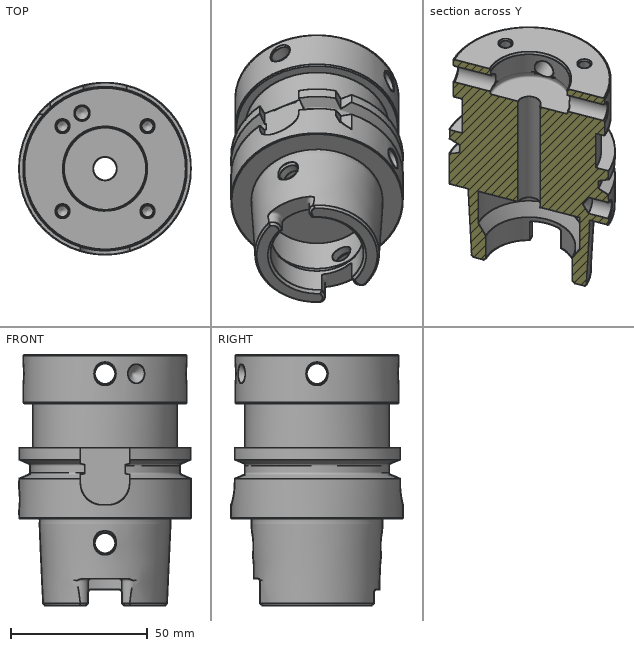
import cadquery as cq
import math

TOP_Z = 60.0
BOTTOM_Z = -31.9

FLANGE_R = 31.5
FLANGE_TOP_Z = 26.0
FLANGE_EDGE = 0.3
GROOVE_R = 27.5
GROOVE_MID_Z = 18.1
GROOVE_MOUTH = 7.0
GROOVE_FLANK_ANGLE = 23.5
GROOVE_FILLET = 0.7

HEAD_R = 30.0
HEAD_BOTTOM_Z = 42.0
HEAD_EDGE = 0.5
NECK_R = 26.5

SHANK_TOP_R = 24.05
SHANK_END_R = 22.75
RELIEF_R = 24.0
RELIEF_TOP_Z = -0.6
RELIEF_BOTTOM_Z = -1.2
SHANK_START_Z = -2.0
SHANK_END_CHAMFER_R = 0.7
SHANK_END_CHAMFER_Z = 1.0
SHANK_TAPER_LENGTH = SHANK_START_Z - BOTTOM_Z - SHANK_END_CHAMFER_Z
SHANK_TAPER = (SHANK_TOP_R - SHANK_END_R) / SHANK_TAPER_LENGTH

HOLLOW_MOUTH_R = 17.0
HOLLOW_CHAMFER = 1.0
HOLLOW_R = 20.0
HOLLOW_TOP_Z = 0.0
CLAMP_SHOULDER_Z = -20.0
CLAMP_SHOULDER_ANGLE = 30.0
COOLANT_R = 4.25
BORE_R = 15.0
BORE_DEPTH = 12.0
BORE_CHAMFER_R = 0.5
BORE_CHAMFER_Z = 0.9
BORE_RELIEF_DEPTH = 0.3
BORE_RELIEF_LENGTH = 2.8
BORE_RELIEF_RUNOUT = 1.0
BORE_RELIEF_FILLET = 0.8

KEYWAY_FLOOR = 26.5
FRONT_KEYWAY_WIDTH = 18.0
REAR_KEYWAY_WIDTH = 16.0
KEYWAY_END_Z = 5.0
KEYWAY_CORNER_R = 8.0
NOTCH_WALL = 20.0

DRIVE_WIDTH = 12.3
FRONT_DRIVE_TOP_Z = -22.0
REAR_DRIVE_TOP_Z = -26.0
DRIVE_POST_R = 3.0
DRIVE_POST_Y = 17.87
DRIVE_POST_END_ANGLE = 36.0
DRIVE_MOUTH_SLOPE = 28.0
DRIVE_CORNER_R = 1.0
DRIVE_END_CHAMFER = 0.9

CROSS_HOLE_D = 7.4
HEAD_HOLE_MOUTH_D = 8.6
SHANK_HOLE_MOUTH_D = 9.0
HEAD_HOLE_Z = 53.0
SHANK_HOLE_Z = -9.0
POINT_ANGLE = 118.0
BALANCE_HOLE_D = 7.0
BALANCE_POINT_ANGLE = 90.0
BALANCE_HOLE_ANGLE = -67.5
CHIP_HOLE_D = 7.4
CHIP_HOLE_MOUTH_D = 8.2
CHIP_HOLE_DEPTH = 8.0
CHIP_HOLE_Z = 7.0

FACE_HOLE_CIRCLE_R = 22.0
SCREW_HOLE_D = 4.2
SCREW_HOLE_MOUTH_D = 5.3
PIN_HOLE_D = 5.0
PIN_HOLE_MOUTH_D = 5.8
PIN_HOLE_ANGLE = 112.5
FACE_HOLE_DEPTH = 10.0

CLEARANCE = 10.0


def turned(points):
    """Solid of revolution about Z from (radius, z) points."""
    return cq.Workplane("XZ").polyline(points).close().revolve(360, (0, 0, 0), (0, 1, 0))


def make_body():
    """Outer shape from the shank end up to the head face."""
    return turned([
        (0, BOTTOM_Z),
        (SHANK_END_R - SHANK_END_CHAMFER_R, BOTTOM_Z),
        (SHANK_END_R, BOTTOM_Z + SHANK_END_CHAMFER_Z),
        (SHANK_TOP_R, SHANK_START_Z),
        (RELIEF_R, RELIEF_BOTTOM_Z),
        (RELIEF_R, RELIEF_TOP_Z),
        (SHANK_TOP_R, 0),
        (FLANGE_R - FLANGE_EDGE, 0),
        (FLANGE_R, FLANGE_EDGE),
        (FLANGE_R, FLANGE_TOP_Z),
        (NECK_R, FLANGE_TOP_Z),
        (NECK_R, HEAD_BOTTOM_Z),
        (HEAD_R - HEAD_EDGE, HEAD_BOTTOM_Z),
        (HEAD_R, HEAD_BOTTOM_Z + HEAD_EDGE),
        (HEAD_R, TOP_Z - HEAD_EDGE),
        (HEAD_R - HEAD_EDGE, TOP_Z),
        (0, TOP_Z),
    ])


def make_groove():
    """Ring with a trapezoid section and rounded bottom corners."""
    flank = (FLANGE_R - GROOVE_R) * math.tan(math.radians(GROOVE_FLANK_ANGLE))
    half_mouth = GROOVE_MOUTH / 2
    half_floor = half_mouth - flank
    outer_r = FLANGE_R + CLEARANCE
    ring = turned([
        (GROOVE_R, GROOVE_MID_Z - half_floor),
        (FLANGE_R, GROOVE_MID_Z - half_mouth),
        (outer_r, GROOVE_MID_Z - half_mouth),
        (outer_r, GROOVE_MID_Z + half_mouth),
        (FLANGE_R, GROOVE_MID_Z + half_mouth),
        (GROOVE_R, GROOVE_MID_Z + half_floor),
    ])
    floor_edges = cq.selectors.RadiusNthSelector(0)
    return ring.edges("%CIRCLE").edges(floor_edges).fillet(GROOVE_FILLET)


def make_hollow():
    """Hollow of the shank, with a conical clamping shoulder behind its narrower mouth."""
    shoulder_height = (HOLLOW_R - HOLLOW_MOUTH_R) / math.tan(math.radians(CLAMP_SHOULDER_ANGLE))
    return turned([
        (0, BOTTOM_Z),
        (HOLLOW_MOUTH_R + HOLLOW_CHAMFER, BOTTOM_Z),
        (HOLLOW_MOUTH_R, BOTTOM_Z + HOLLOW_CHAMFER),
        (HOLLOW_MOUTH_R, CLAMP_SHOULDER_Z),
        (HOLLOW_R, CLAMP_SHOULDER_Z + shoulder_height),
        (HOLLOW_R, HOLLOW_TOP_Z),
        (0, HOLLOW_TOP_Z),
    ])


def make_head_bore():
    """Centring bore with an undercut at its floor, and the coolant hole below it."""
    floor_z = TOP_Z - BORE_DEPTH
    relief_r = BORE_R + BORE_RELIEF_DEPTH
    relief_top_z = floor_z + BORE_RELIEF_LENGTH
    arc_shift = BORE_RELIEF_FILLET * (1 - math.sqrt(0.5))
    profile = (
        cq.Workplane("XZ")
        .moveTo(0, HOLLOW_TOP_Z)
        .lineTo(COOLANT_R, HOLLOW_TOP_Z)
        .lineTo(COOLANT_R, floor_z)
        .lineTo(relief_r - BORE_RELIEF_FILLET, floor_z)
        .threePointArc(
            (relief_r - arc_shift, floor_z + arc_shift),
            (relief_r, floor_z + BORE_RELIEF_FILLET),
        )
        .lineTo(relief_r, relief_top_z - BORE_RELIEF_RUNOUT)
        .lineTo(BORE_R, relief_top_z)
        .lineTo(BORE_R, TOP_Z - BORE_CHAMFER_Z)
        .lineTo(BORE_R + BORE_CHAMFER_R, TOP_Z)
        .lineTo(0, TOP_Z)
        .close()
    )
    return profile.revolve(360, (0, 0, 0), (0, 1, 0))


def make_keyway(width, side):
    """Flange keyway on the side * Y side, open at the flange top, with rounded lower corners."""
    half = width / 2
    half_flat = half - KEYWAY_CORNER_R
    corner_z = KEYWAY_END_Z + KEYWAY_CORNER_R
    arc_reach = KEYWAY_CORNER_R * math.sqrt(0.5)
    outline = (
        cq.Workplane("XZ", origin=(0, side * KEYWAY_FLOOR, 0))
        .moveTo(half, FLANGE_TOP_Z)
        .lineTo(half, corner_z)
        .threePointArc((half_flat + arc_reach, corner_z - arc_reach), (half_flat, KEYWAY_END_Z))
    )
    if half_flat > 0:
        outline = outline.lineTo(-half_flat, KEYWAY_END_Z)
    outline = (
        outline
        .threePointArc((-half_flat - arc_reach, corner_z - arc_reach), (-half, corner_z))
        .lineTo(-half, FLANGE_TOP_Z)
        .close()
    )
    return outline.extrude(-side * (FLANGE_R + CLEARANCE - KEYWAY_FLOOR))


def make_index_notch():
    """Square corner cut out of the flange at (-X, +Y), with one rounded lower edge."""
    length = FLANGE_R
    width = 2 * KEYWAY_CORNER_R
    height = FLANGE_TOP_Z - KEYWAY_END_Z
    block = cq.Workplane("XY", origin=(-NOTCH_WALL, NOTCH_WALL, KEYWAY_END_Z)).box(
        width, length, height, centered=False
    ).translate((-width, 0, 0))
    return block.edges("|Y and <Z and >X").fillet(KEYWAY_CORNER_R)


def make_drive_slot(top_z, side):
    """Slot across the shank wall on the side * Y side; its walls end in round posts."""
    half = DRIVE_WIDTH / 2
    post_x = half + DRIVE_POST_R
    mouth = FLANGE_R
    end_angle = math.radians(DRIVE_POST_END_ANGLE)
    end_x = post_x + DRIVE_POST_R * math.sin(end_angle)
    end_y = DRIVE_POST_Y + DRIVE_POST_R * math.cos(end_angle)
    mouth_y = end_y - (mouth - end_x) * math.tan(math.radians(DRIVE_MOUTH_SLOPE))
    crest_y = DRIVE_POST_Y + DRIVE_POST_R
    slot = (
        cq.Workplane("XY", origin=(0, 0, BOTTOM_Z))
        .moveTo(-half, 0)
        .lineTo(half, 0)
        .lineTo(half, DRIVE_POST_Y)
        .threePointArc((post_x, crest_y), (end_x, end_y))
        .lineTo(mouth, mouth_y)
        .lineTo(mouth, mouth)
        .lineTo(-mouth, mouth)
        .lineTo(-mouth, mouth_y)
        .lineTo(-end_x, end_y)
        .threePointArc((-post_x, crest_y), (-half, DRIVE_POST_Y))
        .close()
        .extrude(top_z - BOTTOM_Z)
    )
    wall_edges = cq.selectors.BoxSelector(
        (-mouth, DRIVE_POST_R, top_z - DRIVE_CORNER_R),
        (mouth, crest_y, top_z + DRIVE_CORNER_R),
    )
    slot = slot.edges(wall_edges).fillet(DRIVE_CORNER_R)
    if side < 0:
        slot = slot.rotate((0, 0, 0), (0, 0, 1), 180)
    return slot


def chamfer_post_ends(part):
    """Chamfer the slot walls and posts, the edges of the end face that are not around Z."""
    def is_slot_edge(edge):
        return edge.geomType() == "LINE" or edge.radius() < HOLLOW_MOUTH_R

    return part.faces("<Z").edges().filter(is_slot_edge).chamfer(DRIVE_END_CHAMFER)


def drill(diameter, depth, point_angle=POINT_ANGLE):
    """Pointed hole going down from the origin, extended above it."""
    radius = diameter / 2
    point = radius / math.tan(math.radians(point_angle / 2))
    return turned([
        (0, -depth - point),
        (radius, -depth),
        (radius, CLEARANCE),
        (0, CLEARANCE),
    ])


def countersink(hole_d, mouth_d):
    """90 degree countersink with its mouth at the origin, extended above it."""
    step = (mouth_d - hole_d) / 2
    return turned([
        (0, -step),
        (hole_d / 2, -step),
        (mouth_d / 2, 0),
        (mouth_d / 2, CLEARANCE),
        (0, CLEARANCE),
    ])


def radially(tool, surface_r, angle, z):
    """Turn a downward tool so that it enters a cylinder of surface_r at the given angle."""
    tool = tool.rotate((0, 0, 0), (0, 1, 0), 90).translate((surface_r, 0, z))
    return tool.rotate((0, 0, 0), (0, 0, 1), angle)


def cut_cross_hole(part, surface_r, inner_r, mouth_d, angle, z):
    """Countersunk radial hole from surface_r into the space inside inner_r."""
    hole = drill(CROSS_HOLE_D, surface_r - inner_r + CROSS_HOLE_D / 2)
    part = part.cut(radially(hole, surface_r, angle, z))
    return part.cut(radially(countersink(CROSS_HOLE_D, mouth_d), surface_r, angle, z))


def cut_face_hole(part, hole_d, mouth_d, angle):
    """Countersunk blind hole in the head face, on the hole circle."""
    x = FACE_HOLE_CIRCLE_R * math.cos(math.radians(angle))
    y = FACE_HOLE_CIRCLE_R * math.sin(math.radians(angle))
    for tool in (drill(hole_d, FACE_HOLE_DEPTH), countersink(hole_d, mouth_d)):
        part = part.cut(tool.translate((x, y, TOP_Z)))
    return part


result = make_body().cut(make_groove()).cut(make_hollow()).cut(make_head_bore())
result = result.cut(make_keyway(FRONT_KEYWAY_WIDTH, -1)).cut(make_keyway(REAR_KEYWAY_WIDTH, 1))
result = result.cut(make_index_notch())
result = result.cut(make_drive_slot(FRONT_DRIVE_TOP_Z, -1)).cut(make_drive_slot(REAR_DRIVE_TOP_Z, 1))
result = chamfer_post_ends(result)

for hole_angle in (0, 90, 180, 270):
    result = cut_cross_hole(result, HEAD_R, BORE_R, HEAD_HOLE_MOUTH_D, hole_angle, HEAD_HOLE_Z)
shank_hole_r = SHANK_TOP_R - SHANK_TAPER * (SHANK_START_Z - SHANK_HOLE_Z)
for hole_angle in (90, 270):
    result = cut_cross_hole(result, shank_hole_r, HOLLOW_R, SHANK_HOLE_MOUTH_D, hole_angle, SHANK_HOLE_Z)

balance_hole = drill(BALANCE_HOLE_D, 0, BALANCE_POINT_ANGLE)
result = result.cut(radially(balance_hole, HEAD_R, BALANCE_HOLE_ANGLE, HEAD_HOLE_Z))
for chip_tool in (drill(CHIP_HOLE_D, CHIP_HOLE_DEPTH), countersink(CHIP_HOLE_D, CHIP_HOLE_MOUTH_D)):
    result = result.cut(radially(chip_tool, FLANGE_R, 180, CHIP_HOLE_Z))

for hole_angle in (45, 135, 225, 315):
    result = cut_face_hole(result, SCREW_HOLE_D, SCREW_HOLE_MOUTH_D, hole_angle)
result = cut_face_hole(result, PIN_HOLE_D, PIN_HOLE_MOUTH_D, PIN_HOLE_ANGLE)